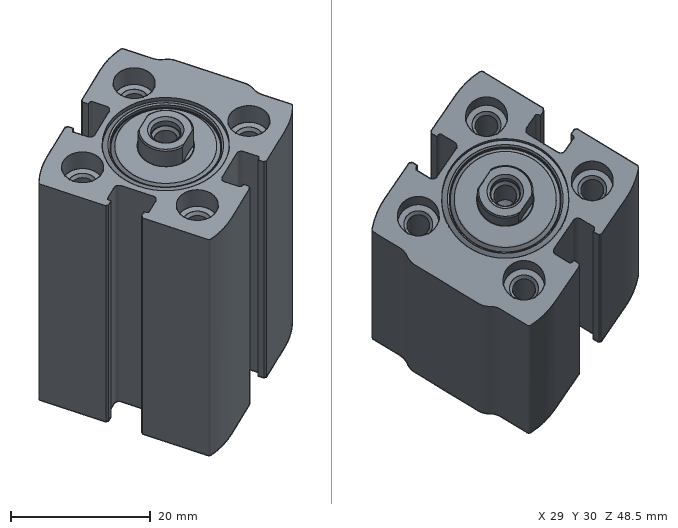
import cadquery as cq
import math

half_size = 14.5
housing_height = 45.5
flank_flat_half = 9.3
end_flat_half = 13.4
corner_fillet = 0.5
bump_height = 1.0
bump_top_half = 5.4
bump_foot_half = 8.6

slot_neck_width = 5.2
slot_cavity_width = 6.5
slot_depth = 4.5
slot_lip = 1.2
slot_lip_fillet = 0.25
slot_lip_corner_fillet = 0.35
slot_floor_fillet = 0.75

mount_offset = 9.0
mount_counterbore_diameter = 6.0
mount_counterbore_depth = 3.5
mount_chamfer_diameter = 4.13
mount_hole_diameter = 3.24

cover_diameter = 18.2
cover_edge_drop = 0.7
crest_diameter = 16.55
crest_drop = 0.2
groove_diameter = 16.0
groove_outer_drop = 0.4
groove_floor_diameter = 15.75
rim_diameter = 14.6
rim_drop = 0.4
groove_slope = 0.85
groove_floor_drop = rim_drop + groove_slope * (groove_floor_diameter - rim_diameter) / 2
face_diameter = 14.1
face_drop = 0.35

rod_diameter = 8.0
rod_bore_chamfer = 0.1
rod_flats = 7.0
rod_projection = 3.0
rod_insertion = 20.0
rod_tip_chamfer = 0.2
rod_shoulder_length = 0.3

thread_mouth_diameter = 5.2
thread_relief_diameter = 4.3
thread_diameter = 4.13
thread_relief_depth = 1.4
thread_core_diameter = 3.24
thread_core_depth = 8.0
chamfer_half_angle = 45.0
drill_half_angle = 60.0

face_level = housing_height - face_drop
rod_tip_level = housing_height + rod_projection


def cone_height(large_diameter, small_diameter, half_angle):
    """Axial length of a cone between two diameters."""
    return (large_diameter - small_diameter) / 2 / math.tan(math.radians(half_angle))


def revolve_profile(points):
    """Solid of revolution about Z from (radius, height) points."""
    return cq.Workplane("XZ").polyline(points).close().revolve(360, (0, 0, 0), (0, 1, 0))


def flank_radius():
    """Radius of the arc leaving the flank tangentially and reaching the end flat."""
    inset = half_size - end_flat_half
    rise = half_size - flank_flat_half
    return (inset**2 + rise**2) / (2 * inset)


def housing_blank():
    radius = flank_radius()
    bump_middle = ((bump_top_half + bump_foot_half) / 2, half_size + bump_height / 2)
    outline = (
        cq.Workplane("XY")
        .moveTo(-end_flat_half, -half_size)
        .lineTo(end_flat_half, -half_size)
        .radiusArc((half_size, -flank_flat_half), -radius)
        .lineTo(half_size, flank_flat_half)
        .radiusArc((end_flat_half, half_size), -radius)
        .lineTo(bump_foot_half, half_size)
        .tangentArcPoint(bump_middle, relative=False)
        .tangentArcPoint((bump_top_half, half_size + bump_height), relative=False)
        .lineTo(-bump_top_half, half_size + bump_height)
        .tangentArcPoint((-bump_middle[0], bump_middle[1]), relative=False)
        .tangentArcPoint((-bump_foot_half, half_size), relative=False)
        .lineTo(-end_flat_half, half_size)
        .radiusArc((-half_size, flank_flat_half), -radius)
        .lineTo(-half_size, -flank_flat_half)
        .radiusArc((-end_flat_half, -half_size), -radius)
        .close()
    )
    blank = outline.extrude(housing_height)
    for side in (-1, 1):
        for end in (-1, 1):
            corner = (side * end_flat_half, end * half_size, housing_height / 2)
            blank = blank.edges(cq.selectors.NearestToPointSelector(corner)).fillet(corner_fillet)
    return blank


def slot_cutter():
    """Slot opening toward -Y."""
    neck_half = slot_neck_width / 2
    cavity_half = slot_cavity_width / 2
    lip_level = -half_size + slot_lip
    floor_level = -half_size + slot_depth
    mouth_half = neck_half + slot_lip_fillet
    cutter = (
        cq.Workplane("XY")
        .moveTo(-mouth_half, -half_size)
        .radiusArc((-neck_half, -half_size + slot_lip_fillet), slot_lip_fillet)
        .lineTo(-neck_half, lip_level)
        .lineTo(-cavity_half, lip_level)
        .lineTo(-cavity_half, floor_level)
        .lineTo(cavity_half, floor_level)
        .lineTo(cavity_half, lip_level)
        .lineTo(neck_half, lip_level)
        .lineTo(neck_half, -half_size + slot_lip_fillet)
        .radiusArc((mouth_half, -half_size), slot_lip_fillet)
        .close()
        .extrude(housing_height)
    )
    for side in (-1, 1):
        for level, radius in ((floor_level, slot_floor_fillet), (lip_level, slot_lip_corner_fillet)):
            corner = (side * cavity_half, level, housing_height / 2)
            cutter = cutter.edges(cq.selectors.NearestToPointSelector(corner)).fillet(radius)
    return cutter


def mount_cutter():
    """Through hole with a conical lead-in below a counterbore."""
    floor_level = housing_height - mount_counterbore_depth
    chamfer_end = floor_level - cone_height(mount_chamfer_diameter, mount_hole_diameter, chamfer_half_angle)
    return revolve_profile([
        (0, 0),
        (mount_hole_diameter / 2, 0),
        (mount_hole_diameter / 2, chamfer_end),
        (mount_chamfer_diameter / 2, floor_level),
        (mount_counterbore_diameter / 2, floor_level),
        (mount_counterbore_diameter / 2, housing_height),
        (0, housing_height),
    ])


def cover_cutter():
    """Material above the stepped, grooved cover face."""
    return revolve_profile([
        (0, face_level),
        (face_diameter / 2, face_level),
        (rim_diameter / 2, housing_height - rim_drop),
        (groove_floor_diameter / 2, housing_height - groove_floor_drop),
        (groove_diameter / 2, housing_height - groove_floor_drop),
        (groove_diameter / 2, housing_height - groove_outer_drop),
        (crest_diameter / 2, housing_height - crest_drop),
        (cover_diameter / 2, housing_height - cover_edge_drop),
        (cover_diameter / 2, housing_height),
        (0, housing_height),
    ])


def rod_envelope():
    """Round shank with a coned shoulder, carrying the flatted end."""
    shoulder_start = face_level - rod_shoulder_length
    shank_end = face_level - rod_insertion
    shank = revolve_profile([
        (0, shank_end),
        (rod_diameter / 2, shank_end),
        (rod_diameter / 2, shoulder_start),
        (rod_flats / 2, face_level),
        (0, face_level),
    ])
    end_length = rod_tip_level - shoulder_start
    tip = (
        cq.Workplane("XY", origin=(0, 0, shoulder_start))
        .circle(rod_diameter / 2)
        .extrude(end_length)
        .faces(">Z")
        .chamfer(rod_tip_chamfer)
    )
    flats = (
        cq.Workplane("XY", origin=(0, 0, shoulder_start))
        .rect(rod_flats, rod_diameter)
        .extrude(end_length)
    )
    return shank.union(tip.intersect(flats))


def thread_cutter():
    mouth_end = rod_tip_level - cone_height(thread_mouth_diameter, thread_relief_diameter, chamfer_half_angle)
    relief_end = rod_tip_level - thread_relief_depth
    core_start = relief_end - cone_height(thread_diameter, thread_core_diameter, chamfer_half_angle)
    core_end = rod_tip_level - thread_core_depth
    return revolve_profile([
        (0, rod_tip_level),
        (thread_mouth_diameter / 2, rod_tip_level),
        (thread_relief_diameter / 2, mouth_end),
        (thread_relief_diameter / 2, relief_end),
        (thread_diameter / 2, relief_end),
        (thread_core_diameter / 2, core_start),
        (thread_core_diameter / 2, core_end),
        (0, core_end - cone_height(thread_core_diameter, 0, drill_half_angle)),
    ])


def rod_bore_cutter():
    """Blind bore that fits the rod, broken by a small chamfer at the cover face."""
    bore_end = face_level - rod_insertion
    return revolve_profile([
        (0, bore_end),
        (rod_diameter / 2, bore_end),
        (rod_diameter / 2, face_level - rod_bore_chamfer),
        (rod_diameter / 2 + rod_bore_chamfer, face_level),
        (0, face_level),
    ])


def make_housing():
    body = housing_blank()
    for angle in (-90, 0, 90):
        body = body.cut(slot_cutter().rotate((0, 0, 0), (0, 0, 1), angle))
    for x in (-mount_offset, mount_offset):
        for y in (-mount_offset, mount_offset):
            body = body.cut(mount_cutter().translate((x, y, 0)))
    return body.cut(cover_cutter()).cut(rod_bore_cutter())


def make_rod():
    return rod_envelope().cut(thread_cutter())


housing = make_housing()
rod = make_rod()
result = cq.Compound.makeCompound([housing.val(), rod.val()])